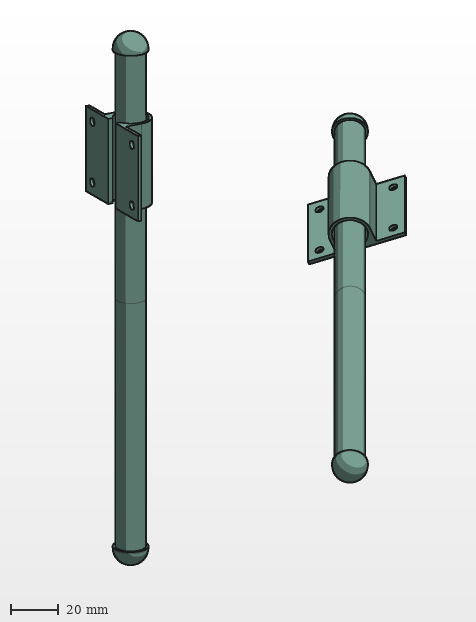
import cadquery as cq

total_length = 236.0

cap_radius = 7.5
cap_rim = 0.5

pole_diameter = 13.0
pole_length = total_length - 2 * (cap_radius + cap_rim)

bracket_width = 43.5
bracket_height = 37.8
bracket_drop = 38.0
saddle_radius = 9.0
bore_radius = 7.5
bracket_depth = 18.0
flange_thickness = 1.7
flange_gap = 6.4

hole_diameter = 3.5
hole_spacing_x = 33.0
hole_spacing_z = 27.0

bracket_top = total_length / 2 - bracket_drop
bracket_bottom = bracket_top - bracket_height
bracket_middle = (bracket_top + bracket_bottom) / 2
flange_front = saddle_radius - bracket_depth
flange_back = flange_front + flange_thickness


def make_pole():
    return cq.Workplane("XY").circle(pole_diameter / 2).extrude(pole_length / 2, both=True)


def make_cap(end):
    """Domed cap seated on the pole end: end is +1 for the top, -1 for the bottom."""
    seat = end * pole_length / 2
    dome_base = seat + end * cap_rim
    tip = end * total_length / 2
    dome_side = cap_radius * 0.5 ** 0.5
    return (
        cq.Workplane("XZ")
        .moveTo(0, seat)
        .lineTo(cap_radius, seat)
        .lineTo(cap_radius, dome_base)
        .threePointArc((dome_side, dome_base + end * dome_side), (0, tip))
        .close()
        .revolve(360, (0, 0, 0), (0, 1, 0))
    )


def make_bracket():
    """U-shaped saddle with two flanges, bored round the pole and open at the front."""
    half_width = bracket_width / 2
    body = (
        cq.Workplane("XY", origin=(0, 0, bracket_bottom))
        .moveTo(-half_width, flange_front)
        .lineTo(half_width, flange_front)
        .lineTo(half_width, flange_back)
        .lineTo(saddle_radius, flange_back)
        .lineTo(saddle_radius, 0)
        .threePointArc((0, saddle_radius), (-saddle_radius, 0))
        .lineTo(-saddle_radius, flange_back)
        .lineTo(-half_width, flange_back)
        .close()
        .extrude(bracket_height)
    )
    bore = cq.Workplane("XY", origin=(0, 0, bracket_bottom)).circle(bore_radius).extrude(bracket_height)
    front_slot = (
        cq.Workplane("XY", origin=(0, flange_front / 2, bracket_bottom))
        .rect(flange_gap, -flange_front)
        .extrude(bracket_height)
    )
    screw_holes = (
        cq.Workplane("XZ", origin=(0, flange_front, bracket_middle))
        .rarray(hole_spacing_x, hole_spacing_z, 2, 2)
        .circle(hole_diameter / 2)
        .extrude(-flange_thickness)
    )
    return body.cut(bore).cut(front_slot).cut(screw_holes)


pole = make_pole()
caps = [make_cap(end) for end in (1, -1)]
bracket = make_bracket()

result = cq.Compound.makeCompound([pole.val(), *[cap.val() for cap in caps], bracket.val()])